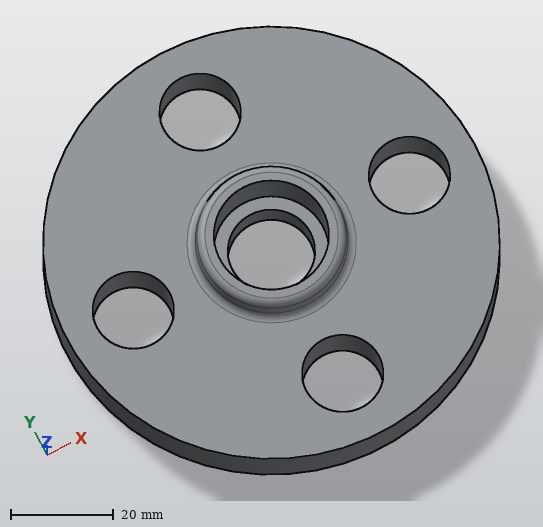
import cadquery as cq
import math

flange_diameter = 88.9
flange_thickness = 9.6

face_diameter = 34.9
face_height = 1.6

hub_height = 4.6
hub_base_diameter = 30.2
hub_taper_angle = 10.0
hub_round_radius = 1.6

socket_diameter = 22.4
socket_depth = 9.6
bore_diameter = 17.0

bolt_count = 4
bolt_hole_diameter = 15.8
bolt_circle_diameter = 60.4

flange_top = face_height + flange_thickness
total_height = flange_top + hub_height
hub_top_diameter = hub_base_diameter - 2 * hub_height * math.tan(math.radians(hub_taper_angle))


def disc(diameter, bottom, height):
    """Upright cylinder on the part axis."""
    return cq.Workplane("XY").workplane(offset=bottom).circle(diameter / 2).extrude(height)


def tapered_hub():
    """Cone frustum standing on the flange plate."""
    outline = [
        (0, flange_top),
        (hub_base_diameter / 2, flange_top),
        (hub_top_diameter / 2, total_height),
        (0, total_height),
    ]
    return cq.Workplane("XZ").polyline(outline).close().revolve(360, (0, 0, 0), (0, 1, 0))


def bolt_holes():
    """Cylinders to cut through the plate, evenly spaced on the bolt circle."""
    return (
        cq.Workplane("XY")
        .polarArray(bolt_circle_diameter / 2, 0, 360, bolt_count)
        .circle(bolt_hole_diameter / 2)
        .extrude(flange_top)
    )


plate = disc(flange_diameter, face_height, flange_thickness)
raised_face = disc(face_diameter, 0, face_height)
body = plate.union(raised_face).union(tapered_hub())

box_reach = hub_base_diameter
hub_box = cq.selectors.BoxSelector(
    (-box_reach, -box_reach, flange_top - hub_round_radius),
    (box_reach, box_reach, total_height + hub_round_radius),
    boundingbox=True,
)
body = body.edges(hub_box).edges("%CIRCLE").fillet(hub_round_radius)

socket = disc(socket_diameter, total_height - socket_depth, socket_depth)
bore = disc(bore_diameter, 0, total_height)

result = body.cut(socket).cut(bore).cut(bolt_holes())